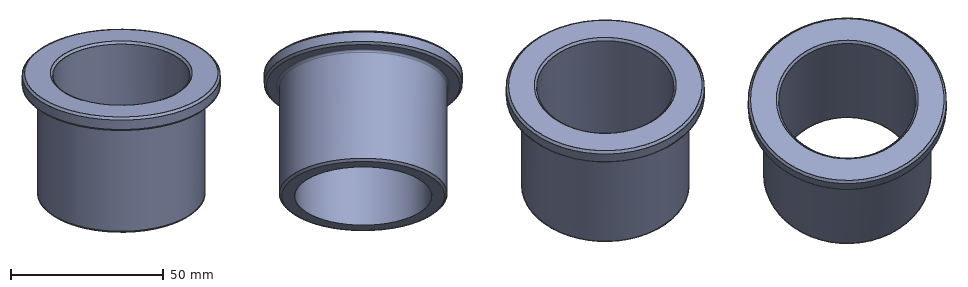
import cadquery as cq

flange_diameter = 65.0
body_diameter = 55.0
bore_diameter = 45.0
total_height = 45.0
flange_thickness = 5.0
edge_chamfer = 0.8
neck_fillet = 0.8

flange_radius = flange_diameter / 2
body_radius = body_diameter / 2
bore_radius = bore_diameter / 2
flange_bottom = total_height - flange_thickness


def chamfered_disc(radius, height):
    """Disc with both rims chamfered."""
    return cq.Workplane("XY").circle(radius).extrude(height).edges().chamfer(edge_chamfer)


body = cq.Workplane("XY").circle(body_radius).extrude(total_height - edge_chamfer)
body = body.faces("<Z").edges().chamfer(edge_chamfer)

flange = chamfered_disc(flange_radius, flange_thickness).translate((0, 0, flange_bottom))

fillet_ring = (
    cq.Workplane("XZ")
    .moveTo(bore_radius, flange_bottom)
    .lineTo(body_radius + neck_fillet, flange_bottom)
    .radiusArc((body_radius, flange_bottom - neck_fillet), -neck_fillet)
    .lineTo(bore_radius, flange_bottom - neck_fillet)
    .close()
    .revolve(360, (0, 0, 0), (0, 1, 0))
)

bore = cq.Workplane("XY").circle(bore_radius).extrude(total_height)
bore_mouth = (
    cq.Workplane("XY")
    .workplane(offset=total_height - edge_chamfer)
    .circle(bore_radius)
    .workplane(offset=edge_chamfer)
    .circle(bore_radius + edge_chamfer)
    .loft(ruled=True)
)

result = body.union(flange).union(fillet_ring).cut(bore).cut(bore_mouth)